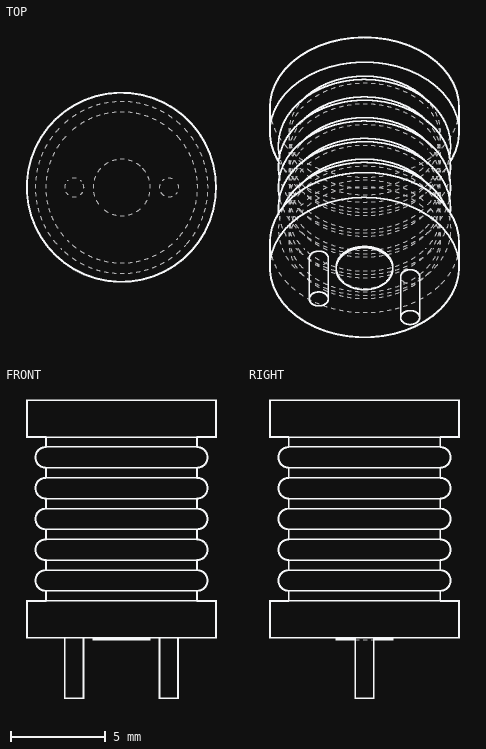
import cadquery as cq

flange_diameter = 10.0
flange_thickness = 1.95
core_diameter = 8.0
body_height = 12.55

wire_diameter = 1.1
turn_count = 5
winding_space = body_height - 2 * flange_thickness
turn_gap = (winding_space - turn_count * wire_diameter) / (turn_count + 1)
turn_pitch = wire_diameter + turn_gap
first_turn_z = flange_thickness + turn_gap + wire_diameter / 2

pin_diameter = 1.0
pin_spacing = 5.0
pin_length = 3.2
pad_diameter = 3.0
pad_height = 0.1


def cylinder(diameter, bottom_z, height, x=0.0):
    """Upright cylinder standing on bottom_z."""
    return cq.Workplane("XY", origin=(x, 0, bottom_z)).circle(diameter / 2).extrude(height)


def bobbin():
    """Core with a flange at each end."""
    core = cylinder(core_diameter, 0, body_height)
    lower_flange = cylinder(flange_diameter, 0, flange_thickness)
    upper_flange = cylinder(flange_diameter, body_height - flange_thickness, flange_thickness)
    return core.union(lower_flange).union(upper_flange)


def winding_turn(center_z):
    """Disc through the core whose half-round rim stands out as one turn of wire."""
    core_radius = core_diameter / 2
    wire_radius = wire_diameter / 2
    bottom_z = center_z - wire_radius
    top_z = center_z + wire_radius
    return (
        cq.Workplane("XZ")
        .moveTo(0, bottom_z)
        .lineTo(core_radius, bottom_z)
        .threePointArc((core_radius + wire_radius, center_z), (core_radius, top_z))
        .lineTo(0, top_z)
        .close()
        .revolve(360, (0, 0), (0, 1))
    )


result = bobbin()

for turn in range(turn_count):
    result = result.union(winding_turn(first_turn_z + turn * turn_pitch))

result = result.union(cylinder(pad_diameter, -pad_height, pad_height))

for pin_x in (-pin_spacing / 2, pin_spacing / 2):
    result = result.union(cylinder(pin_diameter, -pin_length, pin_length, pin_x))